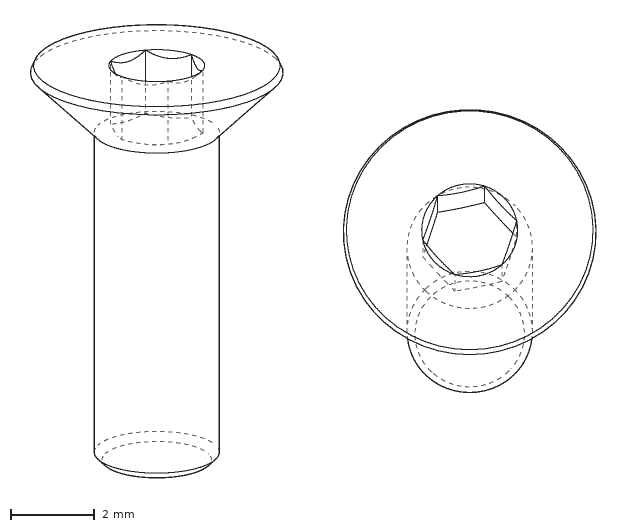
import cadquery as cq
import math

length = 10.0
head_radius = 3.025
head_top_radius = 2.95
rim_height = 0.18
head_height = 1.69
shank_radius = 1.5
tip_chamfer = 0.19

socket_flats = 1.99
socket_depth = 1.6
lead_in_angle = 45.0
drill_point_angle = 20.0
socket_corner_radius = socket_flats / 2 / math.cos(math.pi / 6)

rim_z = length - rim_height
cone_start_z = length - head_height


def screw_body():
    profile = [
        (0, 0),
        (shank_radius - tip_chamfer, 0),
        (shank_radius, tip_chamfer),
        (shank_radius, cone_start_z),
        (head_radius, rim_z),
        (head_top_radius, length),
        (0, length),
    ]
    return cq.Workplane("XZ").polyline(profile).close().revolve(360, (0, 0), (0, 1))


def downward_cone(radius, angle, base_z):
    depth = radius * math.tan(math.radians(angle))
    profile = [(0, base_z), (radius, base_z), (0, base_z - depth)]
    return cq.Workplane("XZ").polyline(profile).close().revolve(360, (0, 0), (0, 1))


def socket():
    floor_z = length - socket_depth
    hexagon = (
        cq.Workplane("XY")
        .workplane(offset=length)
        .polygon(6, 2 * socket_corner_radius)
        .extrude(-2 * socket_depth)
    )
    bore = (
        cq.Workplane("XY")
        .workplane(offset=floor_z)
        .circle(socket_corner_radius)
        .extrude(socket_depth)
    )
    drill_point = downward_cone(socket_corner_radius, drill_point_angle, floor_z)
    lead_in = downward_cone(socket_corner_radius, lead_in_angle, length)
    return hexagon.intersect(bore.union(drill_point)).union(lead_in)


result = screw_body().cut(socket())